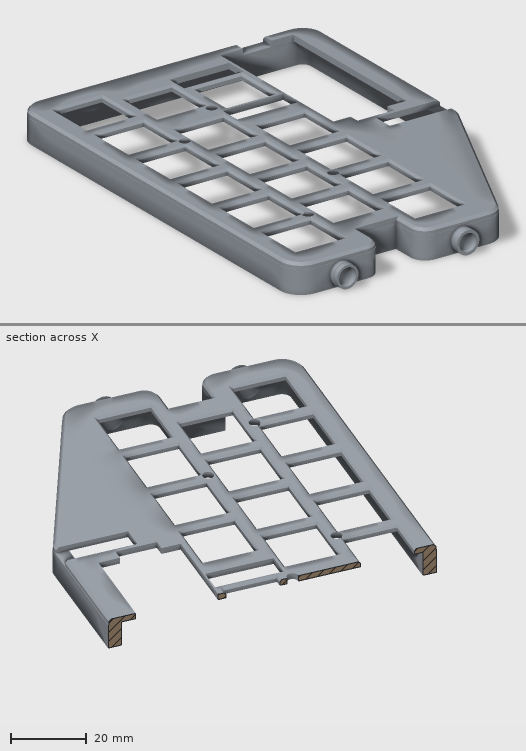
import cadquery as cq
import math

overall_width = 130.8
case_width = 127.8
case_depth = 93.5
case_height = 9.2
plate_thickness = 1.8
rim_height = case_height - plate_thickness
wall = 3.9
plate_ledge = 0.1
corner_radius = 6.5
edge_chamfer = 0.8

slope_start_x = 69.0
slope_end_y = 66.3
slope_start_radius = 2.6

notch_x = 116.5
notch_bottom = 28.1
notch_top = 40.4
notch_radius = 4.6

cavity_notch_x = 113.6
cavity_notch_bottom = 25.9
cavity_notch_top = 41.3
cavity_notch_radius = 2.6

key_size = 15.3
key_chamfer = 0.7
key_pitch = 19.2
top_row_y = 52.3
middle_row_y = 33.1
bottom_row_y = 14.0
top_row_x = 54.0
top_row_keys = 4
middle_row_x = 44.1
middle_row_keys = 4
bottom_row_x = 15.6
bottom_row_keys = 6
slotted_key_x = 24.9
side_key_x = 20.4

slot_width = 6.8
slot_bottom = 42.3
left_slot_x = 9.4
left_slot_top = 61.4
right_slot_x = 33.9
right_slot_top = 61.8

window_x = 4.0
window_end_x = 56.3
window_bottom = 62.3
window_top = 85.7
tab_end_x = 59.4
tab_bottom = 67.8
tab_top = 79.5

side_opening_bottom = 69.6
side_opening_top = 78.8
switch_slot_x = 60.6
switch_slot_end_x = 67.0
switch_slot_bottom = 72.9

screw_diameter = 3.1
screw_points = [(30.7, 41.0), (83.4, 43.3), (44.2, 22.9), (101.7, 22.5)]

pin_bore = 5.5
pin_diameter = 7.2
pin_tip_diameter = 7.0
pin_z = rim_height / 2
lower_pin_y = 14.9
lower_pin_base = 1.5
lower_pin_length = overall_width - case_width
upper_pin_y = 53.6
upper_pin_length = 2.9


def case_block(inset, notch, z0, z1):
    """Solid with the case outline moved inwards; notch holds its end X, bottom Y, top Y and lip radius."""
    notch_end_x, lower_lobe_top, upper_lobe_bottom, lip_radius = notch
    slope_angle = math.atan2(case_depth - slope_end_y, case_width - slope_start_x)
    left = inset
    right = case_width - inset
    bottom = inset
    top = case_depth - inset
    slope_x = slope_start_x - inset * math.tan(slope_angle / 2)
    slope_y = slope_end_y - inset * math.tan(math.pi / 4 - slope_angle / 2)
    corners = [
        (left, bottom),
        (right, bottom),
        (right, lower_lobe_top),
        (notch_end_x, lower_lobe_top),
        (notch_end_x, upper_lobe_bottom),
        (right, upper_lobe_bottom),
        (right, slope_y),
        (slope_x, top),
        (left, top),
    ]
    block = cq.Workplane("XY", origin=(0, 0, z0)).polyline(corners).close().extrude(z1 - z0)

    outer_corners = [(left, bottom), (right, bottom), (right, slope_y), (left, top)]
    lip_corners = [(right, lower_lobe_top), (right, upper_lobe_bottom)]
    block = round_corners(block, outer_corners, corner_radius - inset)
    return round_corners(block, lip_corners, lip_radius)


def round_corners(block, points, radius):
    """Round the upright edges of a block that are nearest to the points."""
    middle = block.val().Center().z
    for x, y in points:
        block = block.edges("|Z").edges(cq.selectors.NearestToPointSelector((x, y, middle))).fillet(radius)
    return block


def box(x0, x1, y0, y1, z0=0.0):
    """Cutter between two corners, from z0 to the top face."""
    return cq.Workplane("XY").box(x1 - x0, y1 - y0, case_height - z0, centered=False).translate((x0, y0, z0))


def key_window(x, y):
    """Square cutter with a flared top."""
    mouth = key_size + 2 * key_chamfer
    straight = cq.Workplane("XY").rect(key_size, key_size).extrude(case_height)
    flare = (
        cq.Workplane("XY", origin=(0, 0, case_height))
        .rect(mouth, mouth)
        .workplane(offset=-key_chamfer)
        .rect(key_size, key_size)
        .loft(ruled=True)
    )
    return straight.union(flare).translate((x, y, 0))


def cylinder_x(diameter, x, y, length):
    """Cylinder along X, level with the pins."""
    return cq.Workplane("YZ", origin=(x, y, pin_z)).circle(diameter / 2).extrude(length)


rim = case_block(0, (notch_x, notch_bottom, notch_top, notch_radius), 0, rim_height)
rim = round_corners(rim, [(slope_start_x, case_depth)], slope_start_radius)
cavity_notch = (cavity_notch_x, cavity_notch_bottom, cavity_notch_top, cavity_notch_radius)
cavity = case_block(wall, cavity_notch, 0, rim_height)
rim = rim.cut(cavity)

plate_notch = (
    notch_x - plate_ledge,
    notch_bottom - plate_ledge,
    notch_top + plate_ledge,
    notch_radius - plate_ledge,
)
plate = case_block(plate_ledge, plate_notch, rim_height, case_height)
plate = round_corners(plate, [(slope_start_x, case_depth)], slope_start_radius)
notch_end = cq.selectors.NearestToPointSelector((notch_x, (notch_bottom + notch_top) / 2, case_height))
plate = plate.faces(">Z").edges(-notch_end).chamfer(edge_chamfer)
case = rim.union(plate)

pins = cylinder_x(pin_diameter, case_width, upper_pin_y, upper_pin_length)
pins = pins.union(cylinder_x(pin_diameter, case_width, lower_pin_y, lower_pin_base))
pins = pins.union(cylinder_x(pin_tip_diameter, case_width, lower_pin_y, lower_pin_length))
case = case.union(pins)
for pin_y, pin_length in [(lower_pin_y, lower_pin_length), (upper_pin_y, upper_pin_length)]:
    case = case.cut(cylinder_x(pin_bore, case_width - wall, pin_y, wall + pin_length))

key_points = [(slotted_key_x, top_row_y), (side_key_x, middle_row_y)]
key_points += [(top_row_x + i * key_pitch, top_row_y) for i in range(top_row_keys)]
key_points += [(middle_row_x + i * key_pitch, middle_row_y) for i in range(middle_row_keys)]
key_points += [(bottom_row_x + i * key_pitch, bottom_row_y) for i in range(bottom_row_keys)]
for x, y in key_points:
    case = case.cut(key_window(x, y))

case = case.cut(box(left_slot_x, left_slot_x + slot_width, slot_bottom, left_slot_top))
case = case.cut(box(right_slot_x, right_slot_x + slot_width, slot_bottom, right_slot_top))
case = case.cut(box(window_x, window_end_x, window_bottom, window_top))
case = case.cut(box(window_x, tab_end_x, tab_bottom, tab_top))
case = case.cut(box(0, window_x, side_opening_bottom, side_opening_top, rim_height))
case = case.cut(box(switch_slot_x, switch_slot_end_x, switch_slot_bottom, case_depth, rim_height))

case = case.cut(cq.Workplane("XY").pushPoints(screw_points).circle(screw_diameter / 2).extrude(case_height))

result = case